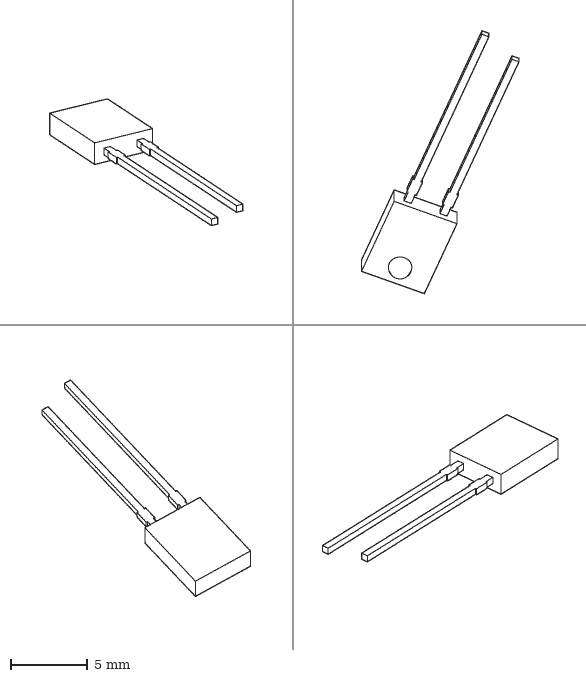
import cadquery as cq

body_length = 5.69
body_width = 4.45
body_height = 1.55

overall_height = 2.33
dome_radius = overall_height - body_height
dome_center_x = 1.25

overall_length = 19.22
lead_pitch = 2.54
lead_width = 0.5
lead_thickness = 0.48
long_lead_length = overall_length - body_length
lead_length_difference = 1.0
short_lead_length = long_lead_length - lead_length_difference

shoulder_gap = 0.7
shoulder_length = 1.04
shoulder_width = 0.7


def make_body():
    return cq.Workplane("XY").box(body_length, body_width, body_height, centered=(False, True, False))


def make_dome():
    """Sphere centred on the underside; its upper half lies inside the body."""
    return cq.Workplane("XY").sphere(dome_radius).translate((dome_center_x, 0, 0))


def lead_bar(start_x, length, width, center_y):
    """Flat bar along X at mid-height of the body."""
    return (
        cq.Workplane("XY")
        .box(length, width, lead_thickness, centered=(False, True, True))
        .translate((start_x, center_y, body_height / 2))
    )


def make_lead(length, center_y):
    bar = lead_bar(body_length, length, lead_width, center_y)
    shoulder = lead_bar(body_length + shoulder_gap, shoulder_length, shoulder_width, center_y)
    return bar.union(shoulder)


result = make_body().union(make_dome())
for length, side in ((long_lead_length, -1), (short_lead_length, 1)):
    result = result.union(make_lead(length, side * lead_pitch / 2))